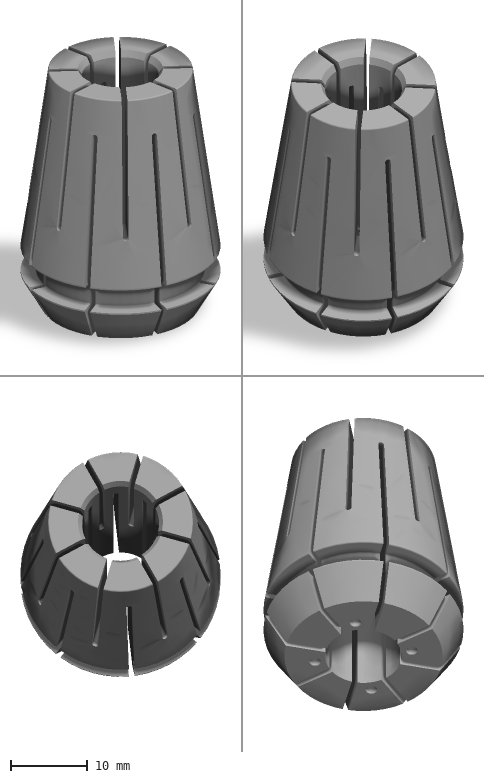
import cadquery as cq
import math

height = 34.0
max_radius = 13.0
bore_radius = 5.0
bore_chamfer_width = 0.5
bore_chamfer_height = 0.85

taper_angle = 8.0
nose_angle = 30.0

groove_radius = 10.95
groove_bottom = 4.9
groove_top = 8.1
nose_band_height = 0.2
taper_band_height = 0.35
edge_fillet = 0.2

slit_count = 8
slit_width = 0.75
slit_end_tilt = 8.0
bottom_slit_end = 29.07
top_slit_end = 14.93

hole_count = 4
hole_diameter = 1.5
hole_circle_radius = 6.35
hole_start_angle = 67.5
hole_depth = top_slit_end

slit_pitch = 360.0 / slit_count
taper_bottom = groove_top + taper_band_height
nose_top = groove_bottom - nose_band_height
nose_radius = max_radius - nose_top * math.tan(math.radians(nose_angle))


def taper_radius(z):
    """Radius of the clamping taper at a height."""
    return max_radius - (z - taper_bottom) * math.tan(math.radians(taper_angle))


def round_rim(body, radius, z):
    """Fillet the circular edge with the given radius and height."""
    rims = [
        edge
        for edge in body.edges("%CIRCLE").vals()
        if math.isclose(edge.radius(), radius, abs_tol=0.0005)
        and math.isclose(edge.Center().z, z, abs_tol=0.0005)
    ]
    return body.newObject(rims).fillet(edge_fillet)


def make_body():
    """Revolved collet with a rounded groove root, taper foot and top rim."""
    top_radius = taper_radius(height)
    profile = (
        cq.Workplane("XZ")
        .moveTo(bore_radius, 0)
        .lineTo(nose_radius, 0)
        .lineTo(max_radius, nose_top)
        .lineTo(max_radius, groove_bottom)
        .lineTo(groove_radius, groove_bottom)
        .lineTo(groove_radius, groove_top)
        .lineTo(max_radius, groove_top)
        .lineTo(max_radius, taper_bottom)
        .lineTo(top_radius, height)
        .lineTo(bore_radius + bore_chamfer_width, height)
        .lineTo(bore_radius, height - bore_chamfer_height)
        .close()
    )
    body = profile.revolve(360, (0, 0, 0), (0, 1, 0))
    body = round_rim(body, groove_radius, groove_bottom)
    body = round_rim(body, groove_radius, groove_top)
    body = round_rim(body, max_radius, groove_top)
    return round_rim(body, top_radius, height)


def make_slit(angle, end_height, direction):
    """Radial slit opening downward (direction -1) or upward (direction +1).

    Its full-round end meets the taper at end_height and runs deeper toward the axis.
    """
    tilt = math.radians(slit_end_tilt)
    end_radius = slit_width / 2
    slit_length = 1.2 * height
    axis_height = end_height - direction * taper_radius(end_height) * math.tan(tilt)
    end_plane = cq.Plane(
        origin=(0, 0, axis_height),
        xDir=(-math.sin(tilt), 0, direction * math.cos(tilt)),
        normal=(math.cos(tilt), 0, direction * math.sin(tilt)),
    )
    return (
        cq.Workplane(end_plane)
        .moveTo(end_radius, end_radius)
        .lineTo(slit_length, end_radius)
        .lineTo(slit_length, -end_radius)
        .lineTo(end_radius, -end_radius)
        .threePointArc((0, 0), (end_radius, end_radius))
        .close()
        .extrude(2 * max_radius)
        .rotate((0, 0, 0), (0, 0, 1), angle)
    )


def make_holes():
    """Ring of blind holes drilled up from the bottom face."""
    return (
        cq.Workplane("XY")
        .polarArray(hole_circle_radius, hole_start_angle, 360, hole_count)
        .circle(hole_diameter / 2)
        .extrude(hole_depth)
    )


result = make_body()
for index in range(slit_count):
    bottom_slit_angle = index * slit_pitch
    top_slit_angle = bottom_slit_angle + slit_pitch / 2
    result = result.cut(make_slit(bottom_slit_angle, bottom_slit_end, -1))
    result = result.cut(make_slit(top_slit_angle, top_slit_end, 1))
result = result.cut(make_holes())